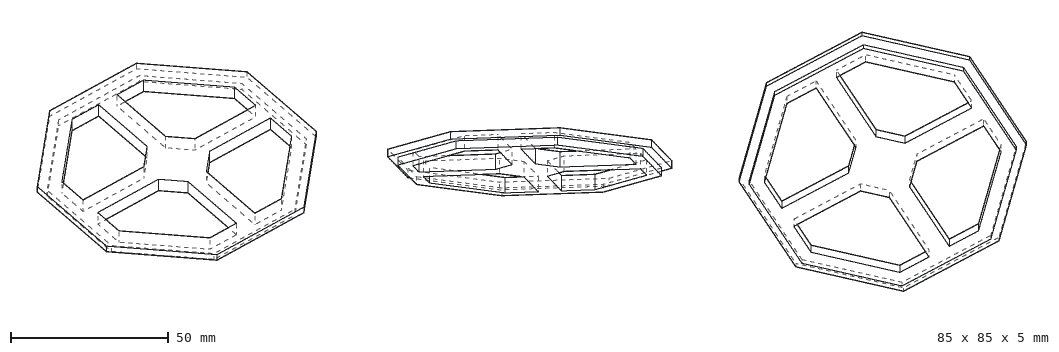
import cadquery as cq
import math

outer_width = 85.0
step_width = 79.0
opening_width = 69.95
spoke_width = 7.5
hub_width = 20.0
total_height = 5.0
flange_height = 2.5
step_height = total_height - flange_height

octagon_sides = 8
half_side_angle = 180 / octagon_sides


def octagon(across_flats, base_z, height):
    """Regular octagonal prism with flats facing X and Y."""
    across_corners = across_flats / math.cos(math.radians(half_side_angle))
    return (
        cq.Workplane("XY", origin=(0, 0, base_z))
        .transformed(rotate=(0, 0, half_side_angle))
        .polygon(octagon_sides, across_corners)
        .extrude(height)
    )


def window():
    """Opening in the +X +Y quadrant, bounded by the rim, two spokes and the hub."""
    rim_flat = opening_width / 2
    rim_corner = rim_flat * math.tan(math.radians(half_side_angle))
    spoke_side = spoke_width / 2
    hub_corner = hub_width / math.sqrt(2) - spoke_side
    return (
        cq.Workplane("XY")
        .polyline([
            (hub_corner, spoke_side),
            (rim_flat, spoke_side),
            (rim_flat, rim_corner),
            (rim_corner, rim_flat),
            (spoke_side, rim_flat),
            (spoke_side, hub_corner),
        ])
        .close()
        .extrude(total_height)
    )


result = octagon(step_width, 0, step_height).union(octagon(outer_width, step_height, flange_height))

for quadrant in range(4):
    result = result.cut(window().rotate((0, 0, 0), (0, 0, 1), 90 * quadrant))